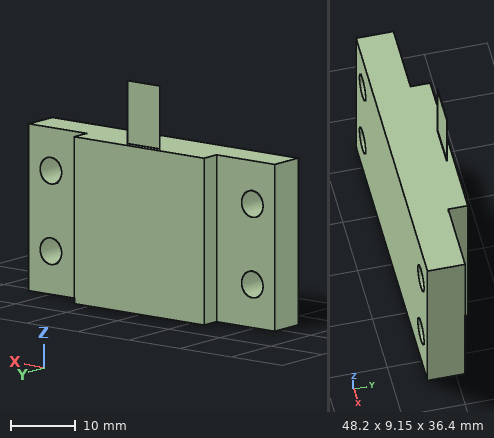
import cadquery as cq

plate_width = 48.2
plate_height = 26.4
plate_thickness = 6.0

block_width = 25.4
block_depth = 3.15

tab_width = 6.3
tab_height = 10.0
tab_thickness = 0.1
tab_back_inset = 1.05
tab_embed = 0.5

hole_diameter = 4.2
hole_spacing_x = 39.45
hole_spacing_z = 12.72


def box_from(width, depth, height, front_y, bottom_z):
    """Box centred on X, starting at the given front and bottom."""
    return (
        cq.Workplane("XY")
        .box(width, depth, height, centered=(True, False, False))
        .translate((0, front_y, bottom_z))
    )


plate = (
    box_from(plate_width, plate_thickness, plate_height, 0, 0)
    .faces("<Y")
    .workplane(centerOption="CenterOfBoundBox")
    .rarray(hole_spacing_x, hole_spacing_z, 2, 2)
    .hole(hole_diameter)
)

block = box_from(block_width, block_depth, plate_height, plate_thickness, 0)

tab_front_y = plate_thickness + block_depth - tab_back_inset - tab_thickness
tab = box_from(
    tab_width, tab_thickness, tab_height + tab_embed, tab_front_y, plate_height - tab_embed
)

result = plate.union(block).union(tab)